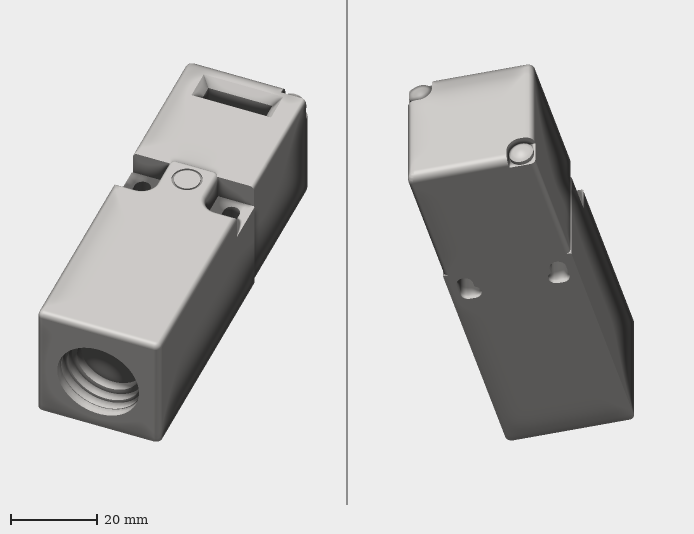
import cadquery as cq
import math

length = 93.0
width = 30.8
height = 30.8

housing_round = 1.5
shoulder_y = 58.5
shoulder_step = 0.23
top_step = 0.5
joint_y = 66.9

head_width = width - 2 * shoulder_step
head_height = height - top_step
head_round = 1.1
head_end_round = 2.1

ear_top_z = 24.2
ear_front_y = 47.5
ear_corner_radius = 3.9
tongue_width = 12.4
tongue_end_y = 60.1

slot_width = 3.9
slot_x = 11.2
slot_long_end_y = 54.6
slot_corner_y = 51.3
slot_short_leg = 1.2

groove_y = slot_long_end_y
groove_outer_radius = 3.6
groove_inner_radius = 3.1
groove_depth = 0.5

entry_z = 14.1
entry_steps = [(10.2, 2.2), (10.0, 2.2), (9.3, 2.2), (8.0, 2.4)]

mouth_length = 19.9
mouth_width = 7.5
mouth_bevel = 1.95
mouth_y = 85.5
opening_depth = 9.3

screw_pocket_size = 6.2
screw_pocket_depth = 2.6
screw_pocket_radius = 3.1
screw_inset = 3.2
screw_radius = 2.9
screw_rim_height = 1.0
screw_dome_height = 1.1


def box(x_size, y_start, y_end, z_start, z_end, x_centre=0.0):
    """Block centred on x_centre in X and spanning the given Y and Z ranges."""
    return (
        cq.Workplane("XY", origin=(x_centre, 0, z_start))
        .moveTo(0, (y_start + y_end) / 2)
        .rect(x_size, y_end - y_start)
        .extrude(z_end - z_start)
    )


def head_section_bar(y_start, y_end):
    """Bar with the cross-section of the head, its four long edges rounded."""
    return box(head_width, y_start, y_end, 0, head_height).edges("|Y").fillet(head_round)


def ear_recess(side):
    """Space above one mounting ear, with a rounded inner corner."""
    recess_width = (width - tongue_width) / 2
    recess_x = side * (tongue_width + recess_width) / 2
    inner_corner = "<X" if side > 0 else ">X"
    recess = box(recess_width, ear_front_y, shoulder_y, ear_top_z, height, recess_x)
    return recess.edges("|Z").edges("<Y").edges(inner_corner).fillet(ear_corner_radius)


def mounting_slot(side):
    """L-shaped slot through one ear, its short leg pointing to the middle."""
    long_leg = slot_long_end_y - slot_corner_y
    plane = cq.Workplane("XY")
    return (
        plane.center(side * slot_x, slot_corner_y + long_leg / 2)
        .slot2D(long_leg + slot_width, slot_width, 90)
        .extrude(height)
        .union(
            plane.center(side * (slot_x - slot_short_leg / 2), slot_corner_y)
            .slot2D(slot_short_leg + slot_width, slot_width)
            .extrude(height)
        )
    )


def cable_entry():
    """Stepped blind bore that narrows inwards from the front face."""
    bore = cq.Workplane("XY")
    step_y = 0.0
    for radius, depth in entry_steps:
        step = cq.Solid.makeCylinder(radius, depth, cq.Vector(0, step_y, entry_z), cq.Vector(0, 1, 0))
        bore = bore.union(cq.Workplane(step))
        step_y += depth
    return bore


def tongue_groove():
    """Shallow ring groove in the top of the tongue."""
    return (
        cq.Workplane("XY", origin=(0, groove_y, height))
        .circle(groove_outer_radius)
        .circle(groove_inner_radius)
        .extrude(-groove_depth)
    )


def make_housing():
    shell = box(width, 0, shoulder_y, 0, height)
    shell = shell.edges("|Z and >Y").chamfer(shoulder_step)
    tongue = box(tongue_width, ear_front_y, tongue_end_y, ear_top_z, height)
    shell = shell.union(tongue.edges("|Z and >Y").fillet(housing_round))
    for side in (-1, 1):
        shell = shell.cut(ear_recess(side))
    shell = shell.edges("|Z and <Y").add(shell.faces(">Z").edges()).fillet(housing_round)
    shell = shell.union(head_section_bar(shoulder_y, joint_y))
    for side in (-1, 1):
        shell = shell.cut(mounting_slot(side))
    return shell.cut(cable_entry()).cut(tongue_groove())


def actuator_opening():
    """Rectangular pocket with a bevelled mouth, cut from the top of the head."""
    pocket_length = mouth_length - 2 * mouth_bevel
    pocket_width = mouth_width - 2 * mouth_bevel
    plane = cq.Workplane("XY", origin=(0, mouth_y, head_height))
    mouth = (
        plane.rect(mouth_length, mouth_width)
        .workplane(offset=-mouth_bevel)
        .rect(pocket_length, pocket_width)
        .loft(ruled=True)
    )
    return mouth.union(plane.rect(pocket_length, pocket_width).extrude(-opening_depth))


def screw_pocket(side):
    """Corner pocket in the head end; side 1 is the upper +X corner, -1 the lower -X one."""
    pocket_x = side * (head_width - screw_pocket_size) / 2
    pocket_z = head_height / 2 + side * (head_height - screw_pocket_size) / 2
    inner_x, inner_z = ("<X", "<Z") if side > 0 else (">X", ">Z")
    pocket = box(
        screw_pocket_size,
        length - screw_pocket_depth,
        length,
        pocket_z - screw_pocket_size / 2,
        pocket_z + screw_pocket_size / 2,
        pocket_x,
    )
    return pocket.edges("|Y").edges(inner_x).edges(inner_z).fillet(screw_pocket_radius)


def screw_head(side):
    """Round screw head with a domed top, standing on the floor of its pocket."""
    axis_x = side * (head_width / 2 - screw_inset)
    axis_z = head_height / 2 + side * (head_height / 2 - screw_inset)
    dome_radius = (screw_radius**2 + screw_dome_height**2) / (2 * screw_dome_height)
    dome_mid_x = screw_radius / 2
    dome_mid_drop = dome_radius - math.sqrt(dome_radius**2 - dome_mid_x**2)
    top = screw_rim_height + screw_dome_height
    return (
        cq.Workplane("XY", origin=(axis_x, length - screw_pocket_depth, axis_z))
        .lineTo(screw_radius, 0)
        .lineTo(screw_radius, screw_rim_height)
        .threePointArc((dome_mid_x, top - dome_mid_drop), (0, top))
        .close()
        .revolve(360, (0, 0, 0), (0, 1, 0))
    )


def make_head():
    head = head_section_bar(joint_y, length)
    head = head.faces(">Y").edges().fillet(head_end_round)
    head = head.cut(actuator_opening())
    for side in (-1, 1):
        head = head.cut(screw_pocket(side)).union(screw_head(side))
    return head


housing = make_housing()
head = make_head()

result = cq.Compound.makeCompound([housing.val(), head.val()])